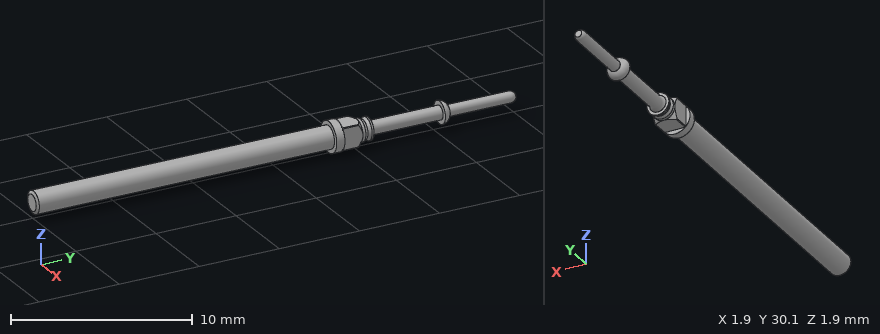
import cadquery as cq

LENGTH = 30.1

SLEEVE_D = 1.38
END_FACE_D = 1.0
END_CHAMFER_LENGTH = 0.1

FLANGE_D = 1.9
FLANGE_REAR = 18.5
FLANGE_THICKNESS = 0.5

SQUARE_SIZE = SLEEVE_D
BLOCK_CORNER_D = FLANGE_D
NOSE_D = SLEEVE_D
NOSE_FRONT = 20.3

NECK_D = SLEEVE_D
GROOVE_D = 1.2
GROOVE_REAR = 20.47
GROOVE_BOTTOM = 20.65
GROOVE_FRONT = 20.85
COLLAR_FRONT = 20.98

SHAFT_D = 0.85
FLARE_D = 1.02
FLARE_FRONT = 21.3

HEAD_D = SLEEVE_D
HEAD_REAR = 25.43
HEAD_LENGTH = 0.48

PIN_D = 0.7
TIP_D = 0.42
TIP_LENGTH = 0.3


def revolve_about_y(outline):
    return outline.close().revolve(360, (0, 0, 0), (0, 1, 0))


def axial_arc_radius(rise, length):
    """Radius of an arc parallel to the axis at one end, with the given rise and axial length."""
    return (rise**2 + length**2) / (2 * rise)


def turned_body():
    """Everything round, followed from the tip of the pin back to the rear face."""
    tip_radius = TIP_D / 2
    pin_radius = PIN_D / 2
    head_radius = HEAD_D / 2
    shaft_radius = SHAFT_D / 2
    neck_radius = NECK_D / 2
    groove_radius = GROOVE_D / 2
    tip_arc = axial_arc_radius(pin_radius - tip_radius, TIP_LENGTH)
    dome_arc = axial_arc_radius(head_radius - pin_radius, HEAD_LENGTH)
    groove_arc = axial_arc_radius(neck_radius - groove_radius, GROOVE_FRONT - GROOVE_BOTTOM)
    flange_front = FLANGE_REAR + FLANGE_THICKNESS

    outline = cq.Workplane("XY").moveTo(0, LENGTH)
    outline = (
        outline.lineTo(tip_radius, LENGTH)
        .radiusArc((pin_radius, LENGTH - TIP_LENGTH), tip_arc)
        .lineTo(pin_radius, HEAD_REAR + HEAD_LENGTH)
        .radiusArc((head_radius, HEAD_REAR), dome_arc)
    )
    outline = (
        outline.lineTo(shaft_radius, HEAD_REAR)
        .lineTo(shaft_radius, FLARE_FRONT)
        .tangentArcPoint((FLARE_D / 2, COLLAR_FRONT), relative=False)
        .lineTo(neck_radius, COLLAR_FRONT)
        .lineTo(neck_radius, GROOVE_FRONT)
        .radiusArc((groove_radius, GROOVE_BOTTOM), -groove_arc)
        .lineTo(neck_radius, GROOVE_REAR)
        .lineTo(neck_radius, flange_front)
    )
    outline = (
        outline.lineTo(FLANGE_D / 2, flange_front)
        .lineTo(FLANGE_D / 2, FLANGE_REAR)
        .lineTo(SLEEVE_D / 2, FLANGE_REAR)
        .lineTo(SLEEVE_D / 2, END_CHAMFER_LENGTH)
        .lineTo(END_FACE_D / 2, 0)
        .lineTo(0, 0)
    )
    return revolve_about_y(outline)


def square_block():
    """Square prism trimmed by a cylinder and by a 45 degree conical nose."""
    corner_radius = BLOCK_CORNER_D / 2
    nose_radius = NOSE_D / 2
    nose_rear = NOSE_FRONT - (corner_radius - nose_radius)
    outline = (
        cq.Workplane("XY")
        .moveTo(0, FLANGE_REAR)
        .lineTo(corner_radius, FLANGE_REAR)
        .lineTo(corner_radius, nose_rear)
        .lineTo(nose_radius, NOSE_FRONT)
        .lineTo(0, NOSE_FRONT)
    )
    prism = cq.Workplane("XY").box(SQUARE_SIZE, LENGTH, SQUARE_SIZE).translate((0, LENGTH / 2, 0))
    return revolve_about_y(outline).intersect(prism)


result = turned_body().union(square_block())